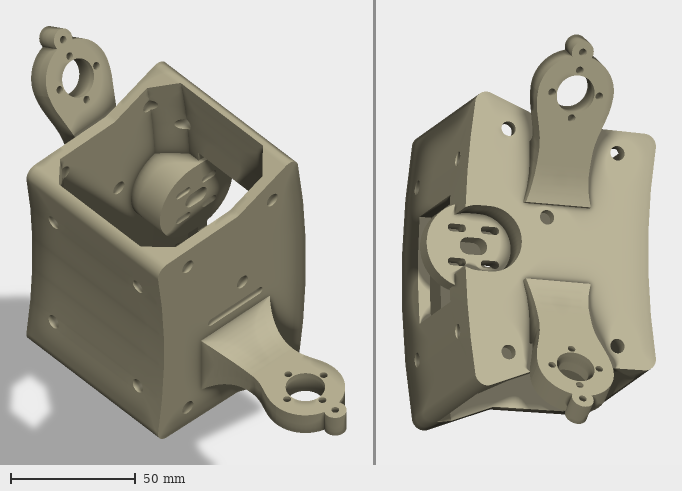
import cadquery as cq
import math

BOX_WIDTH = 77.5
WALL = 5.0
SIDE_WALL = 4.7
FRONT_Y = -39.0
BACK_Y = 38.6
FRONT_RADIUS = 289.9
BEND_AXIS_Y = FRONT_Y - FRONT_RADIUS
BACK_RADIUS = BACK_Y - BEND_AXIS_Y
FRONT_CORNER_Z = 48.8
VALLEY_Y = 1.4
VALLEY_Z = 49.7
BACK_CORNER_Z = 62.7
CORNER_RADIUS = 5.0
VALLEY_RADIUS = 5.3
CAVITY_CHAMFER = 9.8
CAVITY_OVERRUN_Z = 66.8
HALF_BOX = BOX_WIDTH / 2
INNER_X = HALF_BOX - SIDE_WALL

SCREW_RADIUS = 3.0
BENT_HOLE_X = 24.8
BENT_HOLE_Z = 28.1
SIDE_HOLES = [(20.2, 46.2), (20.2, -46.2), (-26.0, 39.9), (-26.0, -39.9), (3.9, 10.9)]
CUT_LENGTH = 210.8

STRAP_LENGTH = 29.9
STRAP_HEIGHT = 3.5
STRAP_Z = -0.4

CUP_Y = 30.4
CUP_TRAVEL = 4.5
CUP_RADIUS = 17.5
CUP_BORE_RADIUS = 13.5
CUP_FLOOR_X = -25.1
CUP_END_X = -17.0
SHAFT_SLOT_RADIUS = 3.5
CUP_SCREW_RADIUS = 1.5
CUP_SCREW_OFFSET = 7.0
WINDOW_WIDTH = 37.6
WINDOW_HEIGHT = 44.3

ARM_THICKNESS = 10.0
HEAD_RADIUS = 16.0
HEAD_BORE_RADIUS = 7.9
HEAD_SCREW_RADIUS = 1.5
HEAD_SCREW_CIRCLE = 10.0
EAR_OFFSET = 17.5
EAR_RADIUS = 4.5
NECK_HALF_WIDTH = 11.2

RIGHT_HEAD_X = 80.0
RIGHT_HEAD_Z = -20.9
RIGHT_NECK = 19.3
RIGHT_FLARE_START = 19.9
RIGHT_ROOT_HALF_WIDTH = 18.8
RIGHT_ROOT_HALF_HEIGHT = 13.9

LEFT_HEAD_X = -58.1
LEFT_HEAD_Z = 58.8
LEFT_TILT = 60.0
LEFT_NECK = 25.5
LEFT_FLARE_START = 30.4
LEFT_ROOT_END = 46.5
LEFT_ROOT_HALF_WIDTH = 14.0
LEFT_ROOT_TOP_Z = 41.8
LEFT_ROOT_BOTTOM_Z = 15.8
LEFT_ROOT_LIP = 2.6
LEFT_ROOT_FILLET = 6.1
LEFT_FLARE_SAG = 0.61


def bend_y(radius, z):
    """Y of the bend arc with the given radius at height z."""
    return BEND_AXIS_Y + math.sqrt(radius ** 2 - z ** 2)


def x_prism(sketch, x_start, x_end):
    """Extrude a YZ outline along X between two planes."""
    return sketch(cq.Workplane("YZ", origin=(x_start, 0, 0))).extrude(x_end - x_start)


def make_block():
    """Solid sleeve without cavity; +Y bulges, -Y is hollowed by the same bend."""
    front_y = bend_y(FRONT_RADIUS, FRONT_CORNER_Z)
    back_y = bend_y(BACK_RADIUS, BACK_CORNER_Z)

    def outline(plane):
        return (
            plane.moveTo(front_y, -FRONT_CORNER_Z)
            .threePointArc((FRONT_Y, 0), (front_y, FRONT_CORNER_Z))
            .lineTo(VALLEY_Y, VALLEY_Z)
            .lineTo(back_y, BACK_CORNER_Z)
            .threePointArc((BACK_Y, 0), (back_y, -BACK_CORNER_Z))
            .lineTo(VALLEY_Y, -VALLEY_Z)
            .close()
        )

    block = x_prism(outline, -HALF_BOX, HALF_BOX)
    valleys = edges_near_y(block, VALLEY_Y)
    block = block.newObject(valleys).fillet(VALLEY_RADIUS)
    corners = edges_near_y(block, front_y) + edges_near_y(block, back_y)
    return block.newObject(corners).fillet(CORNER_RADIUS)


def edges_near_y(body, y):
    """Straight edges along X lying at the given Y."""
    return [edge for edge in body.edges("|X").vals() if abs(edge.Center().y - y) < 0.02]


def make_cavity():
    """Bent rectangular passage with four chamfered corners."""
    front_radius = FRONT_RADIUS + WALL
    back_radius = BACK_RADIUS - WALL
    front_y = bend_y(front_radius, CAVITY_OVERRUN_Z)
    back_y = bend_y(back_radius, CAVITY_OVERRUN_Z)

    def outline(plane):
        return (
            plane.moveTo(front_y, -CAVITY_OVERRUN_Z)
            .threePointArc((FRONT_Y + WALL, 0), (front_y, CAVITY_OVERRUN_Z))
            .lineTo(back_y, CAVITY_OVERRUN_Z)
            .threePointArc((BACK_Y - WALL, 0), (back_y, -CAVITY_OVERRUN_Z))
            .close()
        )

    cavity = x_prism(outline, -INNER_X, INNER_X)
    return cavity.edges("%CIRCLE").chamfer(CAVITY_CHAMFER)


def make_screw_holes():
    """Side holes run along X; front and back holes point at the bend axis."""
    side = (
        cq.Workplane("YZ")
        .pushPoints(SIDE_HOLES)
        .circle(SCREW_RADIUS)
        .extrude(CUT_LENGTH / 2, both=True)
    )
    tilt = math.degrees(math.asin(BENT_HOLE_Z / FRONT_RADIUS))
    level = (
        cq.Workplane("XZ")
        .pushPoints([(-BENT_HOLE_X, 0), (BENT_HOLE_X, 0)])
        .circle(SCREW_RADIUS)
        .extrude(CUT_LENGTH / 2, both=True)
    )
    axis_start = (0, BEND_AXIS_Y, 0)
    axis_end = (1, BEND_AXIS_Y, 0)
    holes = side
    for angle in (tilt, -tilt):
        holes = holes.union(level.rotate(axis_start, axis_end, angle))
    return holes


def cup_slot(radius, x_start, x_end, offsets=((0, 0),)):
    """Slots lengthened by the tension travel, at offsets from the cup middle."""

    def outline(plane):
        centers = [(CUP_Y + y, z) for y, z in offsets]
        return plane.pushPoints(centers).slot2D(CUP_TRAVEL + 2 * radius, 2 * radius)

    return x_prism(outline, x_start, x_end)


def make_cup(block):
    """Motor cup: rim trimmed to the sleeve, floor standing out behind it."""
    floor = cup_slot(CUP_RADIUS, CUP_FLOOR_X, CUP_END_X)
    rim = cup_slot(CUP_RADIUS, -HALF_BOX, CUP_FLOOR_X).intersect(block)
    return rim.union(floor)


def make_cup_cuts():
    """Bore of the cup, shaft slot and four screw slots through its floor."""
    offset = CUP_SCREW_OFFSET
    corners = [(y, z) for y in (-offset, offset) for z in (-offset, offset)]
    bore = cup_slot(CUP_BORE_RADIUS, -HALF_BOX, CUP_FLOOR_X)
    shaft = cup_slot(SHAFT_SLOT_RADIUS, CUP_FLOOR_X, CUP_END_X)
    screws = cup_slot(CUP_SCREW_RADIUS, CUP_FLOOR_X, CUP_END_X, corners)
    return bore.union(shaft).union(screws)


def make_window():
    """Rectangular opening through the back wall, beside the cup floor."""
    return cq.Workplane("XY").box(WINDOW_WIDTH, 3 * WALL, WINDOW_HEIGHT).translate((0, BACK_Y, 0))


def flare_middle(length, narrow, wide):
    """Middle point of an arc from (0, narrow), where it runs along x, to (-length, wide)."""
    rise = wide - narrow
    radius = (length ** 2 + rise ** 2) / (2 * rise)
    half_turn = math.asin(length / radius) / 2
    return (-radius * math.sin(half_turn), narrow + radius * (1 - math.cos(half_turn)))


def make_arm_plan(neck, flare_start, root_end, root_half_width):
    """Tall prism of an arm's outline; head centre at the origin, ear towards +X."""
    middle_x, middle_y = flare_middle(root_end - flare_start, NECK_HALF_WIDTH, root_half_width)
    middle_x -= flare_start
    outline = (
        cq.Workplane("XY")
        .moveTo(0, HEAD_RADIUS)
        .spline([(-neck, NECK_HALF_WIDTH)], tangents=[(-1, 0), (-1, 0)], includeCurrent=True)
        .lineTo(-flare_start, NECK_HALF_WIDTH)
        .threePointArc((middle_x, middle_y), (-root_end, root_half_width))
        .lineTo(-root_end, -root_half_width)
        .threePointArc((middle_x, -middle_y), (-flare_start, -NECK_HALF_WIDTH))
        .lineTo(-neck, -NECK_HALF_WIDTH)
        .spline([(0, -HEAD_RADIUS)], tangents=[(1, 0), (1, 0)], includeCurrent=True)
        .threePointArc((HEAD_RADIUS, 0), (0, HEAD_RADIUS))
        .close()
        .extrude(CUT_LENGTH)
        .translate((0, 0, -CUT_LENGTH / 2))
    )
    ear = arm_cylinders(EAR_RADIUS, [(EAR_OFFSET, 0)])
    ring = HEAD_SCREW_CIRCLE
    screw_places = [(ring, 0), (0, ring), (-ring, 0), (0, -ring), (EAR_OFFSET, 0)]
    bore = arm_cylinders(HEAD_BORE_RADIUS, [(0, 0)])
    screws = arm_cylinders(HEAD_SCREW_RADIUS, screw_places)
    return outline.union(ear).cut(bore).cut(screws)


def arm_cylinders(radius, centers):
    """Cylinders through the full height of an arm plan."""
    return cq.Workplane("XY").pushPoints(centers).circle(radius).extrude(CUT_LENGTH / 2, both=True)


def make_strap_slot():
    """Rounded slot through the right wall."""
    return (
        cq.Workplane("YZ", origin=(INNER_X, 0, STRAP_Z))
        .slot2D(STRAP_LENGTH, STRAP_HEIGHT)
        .extrude(SIDE_WALL)
    )


def make_right_arm():
    """Horizontal arm whose root flares in both width and height."""
    half = ARM_THICKNESS / 2
    tip = EAR_OFFSET + EAR_RADIUS
    root_end = RIGHT_HEAD_X - HALF_BOX
    middle_x, middle_z = flare_middle(root_end - RIGHT_FLARE_START, half, RIGHT_ROOT_HALF_HEIGHT)
    middle_x -= RIGHT_FLARE_START
    side = (
        cq.Workplane("XZ")
        .moveTo(tip, half)
        .lineTo(-RIGHT_FLARE_START, half)
        .threePointArc((middle_x, middle_z), (-root_end, RIGHT_ROOT_HALF_HEIGHT))
        .lineTo(-root_end, -RIGHT_ROOT_HALF_HEIGHT)
        .threePointArc((middle_x, -middle_z), (-RIGHT_FLARE_START, -half))
        .lineTo(tip, -half)
        .close()
        .extrude(HEAD_RADIUS + RIGHT_ROOT_HALF_WIDTH, both=True)
    )
    plan = make_arm_plan(RIGHT_NECK, RIGHT_FLARE_START, root_end, RIGHT_ROOT_HALF_WIDTH)
    return plan.intersect(side).translate((RIGHT_HEAD_X, 0, RIGHT_HEAD_Z))


def left_arm_point(along, offset):
    """X and Z of a point given along the upper left arm and outwards from its mid-plane."""
    tilt = math.radians(LEFT_TILT)
    return (
        LEFT_HEAD_X - along * math.cos(tilt) - offset * math.sin(tilt),
        LEFT_HEAD_Z + along * math.sin(tilt) - offset * math.cos(tilt),
    )


def make_upper_left_arm():
    """Tilted arm whose root spreads over the left wall."""
    half = ARM_THICKNESS / 2
    tip = EAR_OFFSET + EAR_RADIUS
    foot = left_arm_point(-LEFT_FLARE_START, half)
    heel = (-HALF_BOX - LEFT_ROOT_LIP, LEFT_ROOT_BOTTOM_Z)
    chord_x = heel[0] - foot[0]
    chord_z = heel[1] - foot[1]
    chord = math.hypot(chord_x, chord_z)
    sag_middle = (
        (foot[0] + heel[0]) / 2 - LEFT_FLARE_SAG * chord_z / chord,
        (foot[1] + heel[1]) / 2 + LEFT_FLARE_SAG * chord_x / chord,
    )
    tip_inner = left_arm_point(tip, -half)
    drop = tip_inner[1] - LEFT_ROOT_TOP_Z
    crook = (tip_inner[0] + drop / math.tan(math.radians(LEFT_TILT)), LEFT_ROOT_TOP_Z)
    side = (
        cq.Workplane("XZ")
        .moveTo(*left_arm_point(tip, half))
        .lineTo(*foot)
        .threePointArc(sag_middle, heel)
        .lineTo(-HALF_BOX, LEFT_ROOT_BOTTOM_Z)
        .lineTo(-HALF_BOX, LEFT_ROOT_TOP_Z)
        .lineTo(*crook)
        .lineTo(*tip_inner)
        .close()
        .extrude(HEAD_RADIUS + LEFT_ROOT_HALF_WIDTH, both=True)
    )
    crook_edge = [
        edge
        for edge in side.edges("|Y").vals()
        if math.hypot(edge.Center().x - crook[0], edge.Center().z - crook[1]) < 0.02
    ]
    side = side.newObject(crook_edge).fillet(LEFT_ROOT_FILLET)
    plan = (
        make_arm_plan(LEFT_NECK, LEFT_FLARE_START, LEFT_ROOT_END, LEFT_ROOT_HALF_WIDTH)
        .rotate((0, 0, 0), (0, 1, 0), LEFT_TILT - 180)
        .translate((LEFT_HEAD_X, 0, LEFT_HEAD_Z))
    )
    return plan.intersect(side)


block = make_block()
sleeve = block.cut(make_cavity()).cut(make_window())
sleeve = sleeve.union(make_cup(block)).cut(make_cup_cuts()).cut(make_screw_holes()).cut(make_strap_slot())
upper_left_arm = make_upper_left_arm()
lower_left_arm = upper_left_arm.mirror("XY")
result = sleeve.union(make_right_arm()).union(upper_left_arm).union(lower_left_arm)